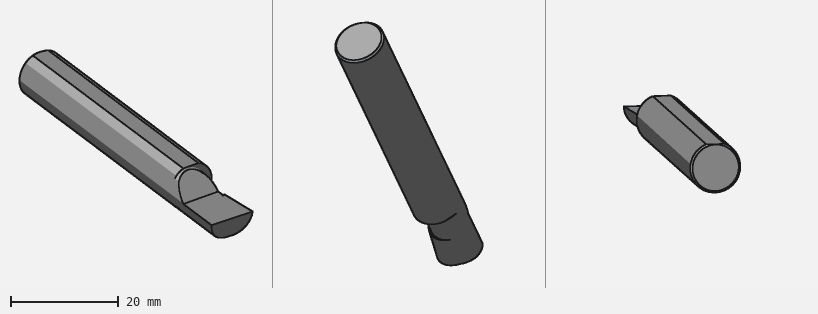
import cadquery as cq
import math

length = 63.5
shank_radius = 4.75
shank_length = 49.5
rear_chamfer = 0.4
flat_height = 4.45

neck_radius = 4.05
neck_offset = -0.95
root_fillet = 0.25

head_start = 55.5
head_start_reach = 3.5
corner_reach = 4.3

ramp_foot = 54.0
ramp_rise = 2 * shank_radius

front_clearance = 7.0
side_clearance = 2.0


def x_cylinder(radius, start, end):
    return cq.Workplane("YZ", origin=(start, 0, 0)).circle(radius).extrude(end - start)


def make_shank():
    shank = x_cylinder(shank_radius, 0, shank_length).faces("<X").chamfer(rear_chamfer)
    above_flat = cq.Workplane("XY", origin=(0, 0, flat_height)).rect(
        2 * length, 2 * shank_radius
    ).extrude(shank_radius)
    return shank.cut(above_flat)


def make_neck():
    """Revolve the neck with a concave fillet where it meets the shank."""
    arc_centre_x = shank_length + root_fillet
    arc_centre_r = neck_radius + root_fillet
    arc_middle = root_fillet * math.sqrt(0.5)
    return (
        cq.Workplane("XY", origin=(0, neck_offset, 0))
        .moveTo(shank_length, 0)
        .lineTo(shank_length, arc_centre_r)
        .threePointArc(
            (arc_centre_x - arc_middle, arc_centre_r - arc_middle),
            (arc_centre_x, neck_radius),
        )
        .lineTo(length, neck_radius)
        .lineTo(length, 0)
        .close()
        .revolve(360, (0, 0, 0), (1, 0, 0))
    )


def make_head():
    """Loft between equal circles whose +Y edge follows the side of the head."""
    start_centre = head_start_reach - neck_radius
    end_centre = corner_reach - neck_radius
    return (
        cq.Workplane("YZ", origin=(head_start, 0, 0))
        .center(start_centre, 0)
        .circle(neck_radius)
        .workplane(offset=length - head_start)
        .center(end_centre - start_centre, 0)
        .circle(neck_radius)
        .loft(ruled=True)
    )


def make_rake_cut():
    return (
        cq.Workplane("XZ")
        .moveTo(ramp_foot, 0)
        .lineTo(2 * length, 0)
        .lineTo(2 * length, ramp_rise)
        .lineTo(ramp_foot - ramp_rise, ramp_rise)
        .close()
        .extrude(shank_radius, both=True)
    )


def make_end_cut():
    """Block whose near face is the end face, tilted about the cutting corner."""
    block = 4 * shank_radius
    corner = (length, corner_reach, 0)
    return (
        cq.Workplane("XY")
        .box(block, block, block, centered=(False, True, True))
        .rotate((0, 0, 0), (0, 1, 0), front_clearance)
        .rotate((0, 0, 0), (0, 0, 1), -side_clearance)
        .translate(corner)
    )


cutting_end = make_neck().union(make_head())
cutting_end = cutting_end.intersect(x_cylinder(shank_radius, shank_length, length))
cutting_end = cutting_end.cut(make_rake_cut()).cut(make_end_cut())

result = make_shank().union(cutting_end)